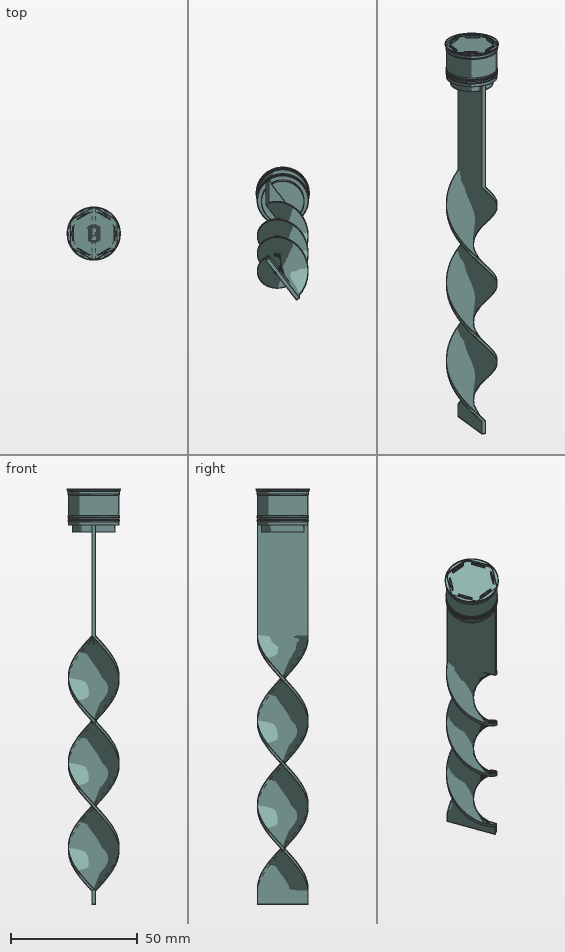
import cadquery as cq
import math

total_length = 164.0
insert_disc_thickness = 1.25
spigot_length = 2.75
lower_flat_length = 5.3
twist_length = 100.7

body_radius = 10.0
flange_radius = 10.5
flange_edge_height = 0.5
flange_chamfer = 0.5
collar_radius = 10.2
collar_bottom = 2.0
collar_taper_height = 0.5
ridge_height = 0.2
ridge_half_width = 0.5
ridge_gap = 0.5
ridge_count = 2
first_ridge_top = 10.5

hex_across_flats = 18.3
hex_depth = 1.0
hex_sides = 6
tab_bar_length = 5.5
tab_bar_thickness = 0.3
tab_bar_distance = 8.2
tab_stub_width = 1.75
tab_stub_length = 0.35

spigot_radius = 8.4

strip_width = 20.0
strip_thickness = 1.5
twist_turns = -1.5

ridge_pitch = 2 * ridge_half_width + ridge_gap
cap_height = first_ridge_top + ridge_count * ridge_pitch - ridge_gap
strip_top = -cap_height - insert_disc_thickness
twist_bottom = -total_length + lower_flat_length
twist_top = twist_bottom + twist_length


def make_cap_blank():
    """Revolved cap: flange, tapered collar and barrel with two shallow V-shaped ridges."""
    profile = (
        cq.Workplane("XZ")
        .lineTo(-flange_radius, 0)
        .lineTo(-flange_radius, -flange_edge_height)
        .lineTo(-collar_radius, -flange_edge_height - flange_chamfer)
        .lineTo(-collar_radius, -collar_bottom)
        .lineTo(-body_radius, -collar_bottom - collar_taper_height)
    )
    for index in range(ridge_count):
        ridge_top = first_ridge_top + index * ridge_pitch
        profile = (
            profile.lineTo(-body_radius, -ridge_top)
            .lineTo(-body_radius - ridge_height, -ridge_top - ridge_half_width)
            .lineTo(-body_radius, -ridge_top - 2 * ridge_half_width)
        )
    profile = profile.lineTo(0, -cap_height).close()
    return profile.revolve(360, (0, 0, 0), (0, 1, 0))


def make_hex_recess():
    """Hexagonal prism with flats facing +X and -X and corners on the Y axis."""
    across_corners = hex_across_flats / math.cos(math.pi / hex_sides)
    return (
        cq.Workplane("XY")
        .workplane(offset=-hex_depth)
        .transformed(rotate=(0, 0, 90))
        .polygon(hex_sides, across_corners)
        .extrude(hex_depth)
    )


def make_tab():
    """T-shaped tab near the +X flat: a thin bar with a short stub pointing at the wall."""
    mid_height = -hex_depth / 2
    bar = cq.Workplane("XY").box(tab_bar_thickness, tab_bar_length, hex_depth)
    bar = bar.translate((tab_bar_distance, 0, mid_height))
    stub_middle = tab_bar_distance + (tab_bar_thickness + tab_stub_length) / 2
    stub = cq.Workplane("XY").box(tab_stub_length, tab_stub_width, hex_depth)
    return bar.union(stub.translate((stub_middle, 0, mid_height)))


def make_cap():
    """Cap with the recess cut out around one tab per flat."""
    recess = make_hex_recess()
    tab = make_tab()
    for index in range(hex_sides):
        recess = recess.cut(tab.rotate((0, 0, 0), (0, 0, 1), index * 360 / hex_sides))
    return make_cap_blank().cut(recess)


def strip_section(height):
    """Cross-section of the flat strip at the given height, its width along Y."""
    return cq.Workplane("XY").workplane(offset=height).rect(strip_thickness, strip_width)


def make_insert():
    """Disc under the cap with a spigot that is slotted for the strip."""
    base = cq.Workplane("XY").workplane(offset=strip_top)
    disc = base.circle(body_radius).extrude(insert_disc_thickness)
    spigot = base.circle(spigot_radius).extrude(-spigot_length)
    slot = strip_section(strip_top).extrude(-spigot_length)
    return disc.union(spigot.cut(slot))


def make_strip():
    """Flat strip whose middle length is twisted by one and a half turns."""
    upper_flat = strip_section(twist_top).extrude(strip_top - twist_top)
    twisted = strip_section(twist_bottom).twistExtrude(twist_length, 360 * twist_turns)
    lower_flat = strip_section(-total_length).extrude(lower_flat_length)
    return upper_flat.union(twisted).union(lower_flat)


cap = make_cap()
insert = make_insert()
strip = make_strip()

result = cq.Compound.makeCompound([cap.val(), insert.val(), strip.val()])